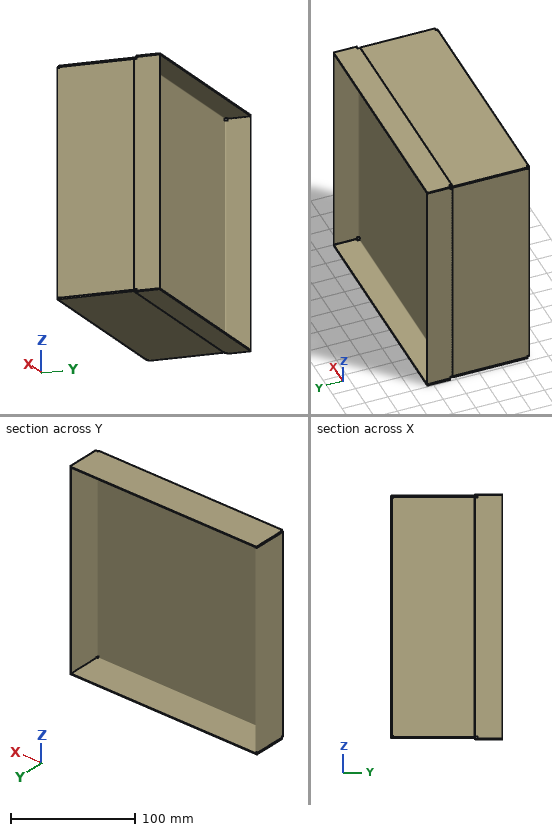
import cadquery as cq

SIZE = 198.0
DEPTH = 90.0
REAR_DEPTH = 22.8
STEP = 1.0

FRONT_SHEET = 1.4
FRONT_BEND = 1.5
FRONT_RELIEF = 2.0

REAR_SHEET = 1.0
REAR_BEND = 1.8
REAR_RELIEF = 2.5

SEAM = 0.1

FRONT_Y = -DEPTH / 2
JOINT_Y = DEPTH / 2 - REAR_DEPTH
FRONT_SIZE = SIZE - 2 * STEP
FRONT_DEPTH = DEPTH - REAR_DEPTH

CORNERS = [(sx, sz) for sx in (-1, 1) for sz in (-1, 1)]


def block(width, depth, height, x, front_y, z):
    """Block centred on x and z that runs back (+Y) from front_y."""
    return cq.Workplane("XY").box(width, depth, height).translate((x, front_y + depth / 2, z))


def folded_shell(size, front_y, depth, sheet, bend):
    """Square panel with four flanges bent backwards, open at the back."""
    outside = block(size, depth, size, 0, front_y, 0)
    outside = outside.faces("<Y").edges().fillet(bend)
    inner_size = size - 2 * sheet
    cavity = block(inner_size, depth - sheet, inner_size, 0, front_y + sheet, 0)
    cavity = cavity.faces("<Y").edges().fillet(bend - sheet)
    return outside.cut(cavity)


def corner_relief(size, front_y, relief, sx, sz):
    """Cube that clears the crossing bends at one front corner."""
    centre = (size - relief) / 2
    return block(relief, relief, relief, sx * centre, front_y, sz * centre)


def corner_seam(size, front_y, depth, sheet, sx, sz):
    """Slot that parts the end of a side flange from the full-width flange above or below it."""
    centre_x = (size - sheet) / 2
    centre_z = size / 2 - sheet - SEAM / 2
    return block(sheet, depth, SEAM, sx * centre_x, front_y, sz * centre_z)


def tray(size, front_y, depth, sheet, bend, relief):
    """Folded tray with open corner seams and corner reliefs."""
    body = folded_shell(size, front_y, depth, sheet, bend)
    for sx, sz in CORNERS:
        body = body.cut(corner_relief(size, front_y, relief, sx, sz))
        body = body.cut(corner_seam(size, front_y, depth, sheet, sx, sz))
    return body


front_tray = tray(FRONT_SIZE, FRONT_Y, FRONT_DEPTH, FRONT_SHEET, FRONT_BEND, FRONT_RELIEF)
rear_tray = tray(SIZE, JOINT_Y, REAR_DEPTH, REAR_SHEET, REAR_BEND, REAR_RELIEF)

result = cq.Compound.makeCompound([front_tray.val(), rear_tray.val()])